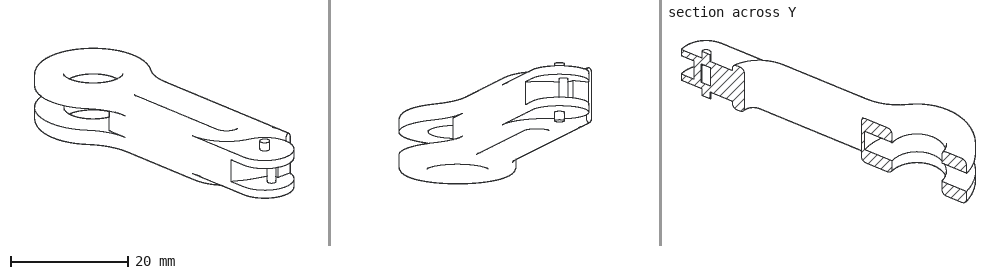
import cadquery as cq
import math

HALF_HEIGHT = 5.0
LUG_TOP = 3.5
GAP_HALF = 2.0
EDGE_RADIUS = 1.0

RING_RADIUS = 10.0
RING_HOLE_RADIUS = 5.0
RING_CLEARANCE = 0.5
NECK_RADIUS = 10.0
RING_ARC_ANGLE = math.radians(120)

ARM_UPPER_Y = 6.0
SLOT_START_X = 13.0
SLOT_END_X = 33.0
SLOT_RADIUS = 1.75

PIVOT_X = 42.5
LUG_RADIUS = 5.0
ARM_LOWER_Y = -LUG_RADIUS
PIVOT_PIN_RADIUS = 0.85

STEP_RADIUS = LUG_RADIUS
STEP_SWEEP_RADIUS = 8.0

POCKET_START_X = 39.4
CUP_RADIUS = 2.0
CUP_CENTER_X = 43.65
WALL_BEND = (40.35, -3.36)
WALL_START_SLANT = math.radians(23)
CROSS_PIN_X = 44.2
CROSS_PIN_RADIUS = 0.75

MARGIN = 5.0
FAR_LEFT = -RING_RADIUS - MARGIN
FAR_RIGHT = PIVOT_X + LUG_RADIUS + MARGIN
FAR_SIDE = RING_RADIUS + MARGIN


def polar(center, radius, angle):
    """Point on a circle at the given angle in radians."""
    return (center[0] + radius * math.cos(angle), center[1] + radius * math.sin(angle))


def neck(side_y):
    """Ring tangent point, midpoint and arm tangent point of the neck arc on one side."""
    sign = math.copysign(1, side_y)
    center_y = side_y + sign * NECK_RADIUS
    center_x = math.sqrt((RING_RADIUS + NECK_RADIUS) ** 2 - center_y ** 2)
    ring_share = RING_RADIUS / (RING_RADIUS + NECK_RADIUS)
    ring_point = (center_x * ring_share, center_y * ring_share)
    start = math.atan2(-center_y, -center_x)
    end = -sign * math.pi / 2
    middle = polar((center_x, center_y), NECK_RADIUS, (start + end) / 2)
    return ring_point, middle, (center_x, side_y)


def prism(outline, bottom, top):
    """Outline in the XY plane extruded between two heights."""
    return outline.extrude(top - bottom).translate((0, 0, bottom))


def cylinder(x, radius, bottom, top):
    """Upright cylinder on the arm centre line."""
    return prism(cq.Workplane().center(x, 0).circle(radius), bottom, top)


def body_outline():
    """Outline of ring, necks, arm and rounded lugs."""
    upper_ring, upper_mid, upper_arm = neck(ARM_UPPER_Y)
    lower_ring, lower_mid, lower_arm = neck(ARM_LOWER_Y)
    return (
        cq.Workplane()
        .moveTo(*upper_arm)
        .lineTo(PIVOT_X, ARM_UPPER_Y)
        .lineTo(PIVOT_X, LUG_RADIUS)
        .threePointArc((PIVOT_X + LUG_RADIUS, 0), (PIVOT_X, ARM_LOWER_Y))
        .lineTo(*lower_arm)
        .threePointArc(lower_mid, lower_ring)
        .threePointArc((-RING_RADIUS, 0), upper_ring)
        .threePointArc(upper_mid, upper_arm)
        .close()
    )


def upper_side_block():
    """Cap-height block bounded by the upper half ring, upper neck and upper arm edge, rounded on top."""
    ring_point, middle, arm_point = neck(ARM_UPPER_Y)
    outline = (
        cq.Workplane()
        .moveTo(-RING_RADIUS, -FAR_SIDE)
        .lineTo(-RING_RADIUS, 0)
        .threePointArc(polar((0, 0), RING_RADIUS, RING_ARC_ANGLE), ring_point)
        .threePointArc(middle, arm_point)
        .lineTo(FAR_RIGHT, ARM_UPPER_Y)
        .lineTo(FAR_RIGHT, -FAR_SIDE)
        .close()
    )
    block = prism(outline, LUG_TOP, HALF_HEIGHT)
    tangent_edge = cq.selectors.NearestToPointSelector((SLOT_END_X, ARM_UPPER_Y, HALF_HEIGHT))
    return block.edges(tangent_edge).fillet(EDGE_RADIUS)


def lower_side_block():
    """Cap-height block bounded by the lower half ring, lower neck, arm edge and S step, rounded on top."""
    ring_point, middle, arm_point = neck(ARM_LOWER_Y)
    sweep_y = ARM_LOWER_Y + STEP_SWEEP_RADIUS
    center_distance = STEP_RADIUS + STEP_SWEEP_RADIUS
    sweep_center = (PIVOT_X - math.sqrt(center_distance ** 2 - sweep_y ** 2), sweep_y)
    pivot = (PIVOT_X, 0)
    joint_angle = math.atan2(sweep_y, sweep_center[0] - PIVOT_X)
    joint = polar(pivot, STEP_RADIUS, joint_angle)
    sweep_start = -math.pi / 2
    sweep_end = joint_angle - math.pi
    sweep_mid = polar(sweep_center, STEP_SWEEP_RADIUS, (sweep_end + sweep_start) / 2)
    step_mid = polar(pivot, STEP_RADIUS, (joint_angle + math.pi / 2) / 2)
    outline = (
        cq.Workplane()
        .moveTo(-RING_RADIUS, FAR_SIDE)
        .lineTo(-RING_RADIUS, 0)
        .threePointArc(polar((0, 0), RING_RADIUS, -RING_ARC_ANGLE), ring_point)
        .threePointArc(middle, arm_point)
        .lineTo(sweep_center[0], ARM_LOWER_Y)
        .threePointArc(sweep_mid, joint)
        .threePointArc(step_mid, (PIVOT_X, STEP_RADIUS))
        .lineTo(FAR_RIGHT, STEP_RADIUS)
        .lineTo(FAR_RIGHT, FAR_SIDE)
        .close()
    )
    block = prism(outline, LUG_TOP, HALF_HEIGHT)
    tangent_edge = cq.selectors.NearestToPointSelector((SLOT_START_X + MARGIN, ARM_LOWER_Y, HALF_HEIGHT))
    return block.edges(tangent_edge).fillet(EDGE_RADIUS)


def slot_outline():
    """Round-ended slot along the arm."""
    length = SLOT_END_X - SLOT_START_X + 2 * SLOT_RADIUS
    return cq.Workplane().center((SLOT_START_X + SLOT_END_X) / 2, 0).slot2D(length, 2 * SLOT_RADIUS)


def opening_block():
    """Cap-height block up to the arm end, pierced by the rounded ring hole and slot."""
    outline = (
        cq.Workplane()
        .moveTo(FAR_LEFT, -FAR_SIDE)
        .lineTo(PIVOT_X, -FAR_SIDE)
        .lineTo(PIVOT_X, FAR_SIDE)
        .lineTo(FAR_LEFT, FAR_SIDE)
        .close()
    )
    block = prism(outline, LUG_TOP, HALF_HEIGHT)
    block = block.cut(cylinder(0, RING_HOLE_RADIUS, LUG_TOP, HALF_HEIGHT))
    block = block.cut(prism(slot_outline(), LUG_TOP, HALF_HEIGHT))
    inner_edges = cq.selectors.BoxSelector(
        (-RING_RADIUS, -RING_RADIUS, HALF_HEIGHT - EDGE_RADIUS / 2),
        (PIVOT_X - EDGE_RADIUS, RING_RADIUS, HALF_HEIGHT + EDGE_RADIUS / 2),
    )
    return block.edges(inner_edges).fillet(EDGE_RADIUS)


def pocket():
    """Space between the lugs: a smooth S-shaped wall that ends in a cup behind the cross pin."""
    cup_start = (CUP_CENTER_X - CUP_RADIUS, 0)
    cup_end = (CUP_CENTER_X, CUP_RADIUS)
    wall_start = (POCKET_START_X, ARM_LOWER_Y)
    start_direction = (-math.sin(WALL_START_SLANT), -math.cos(WALL_START_SLANT))
    outline = (
        cq.Workplane()
        .moveTo(CUP_CENTER_X, FAR_SIDE)
        .lineTo(*cup_end)
        .spline(
            [cup_end, cup_start, WALL_BEND, wall_start],
            tangents=[(-1, 0), start_direction],
        )
        .lineTo(POCKET_START_X, -FAR_SIDE)
        .lineTo(FAR_RIGHT, -FAR_SIDE)
        .lineTo(FAR_RIGHT, FAR_SIDE)
        .close()
    )
    return prism(outline, -GAP_HALF, GAP_HALF)


def ring_gap():
    """Space between the two rings, which also trims the necks flush with the arm sides."""
    gap = cylinder(0, RING_RADIUS + RING_CLEARANCE, -GAP_HALF, GAP_HALF)
    for near_y, far_y in ((ARM_UPPER_Y, FAR_SIDE), (ARM_LOWER_Y, -FAR_SIDE)):
        beside_arm = cq.Workplane().rect(2 * PIVOT_X, far_y - near_y).extrude(2 * GAP_HALF)
        gap = gap.union(beside_arm.translate((0, (near_y + far_y) / 2, -GAP_HALF)))
    return gap


def core():
    """Full outline between the caps, with both gaps, the ring hole and the slot."""
    shape = prism(body_outline(), -LUG_TOP, LUG_TOP)
    shape = shape.cut(ring_gap())
    shape = shape.cut(cylinder(0, RING_HOLE_RADIUS, -LUG_TOP, LUG_TOP))
    shape = shape.cut(prism(slot_outline(), -LUG_TOP, LUG_TOP))
    shape = shape.cut(pocket())
    return shape.union(cylinder(CROSS_PIN_X, CROSS_PIN_RADIUS, -GAP_HALF, GAP_HALF))


def cap():
    """Raised upper layer of the ring and arm, with the pivot pin beside it."""
    shape = upper_side_block().intersect(lower_side_block()).intersect(opening_block())
    return shape.union(cylinder(PIVOT_X, PIVOT_PIN_RADIUS, LUG_TOP, HALF_HEIGHT))


upper_cap = cap()
result = core().union(upper_cap).union(upper_cap.mirror("XY")).clean()